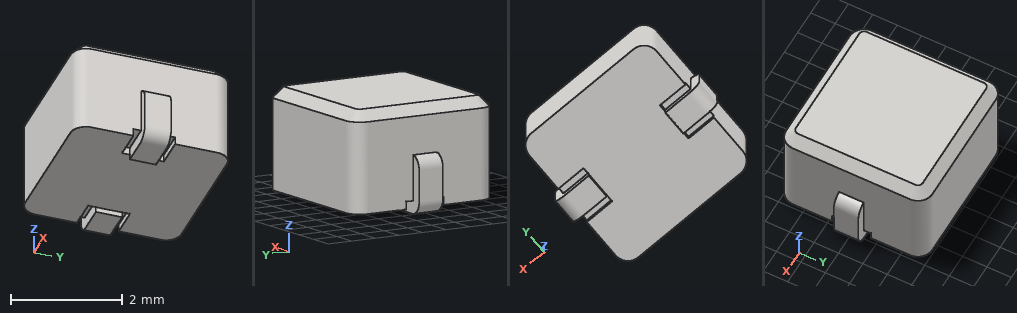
import cadquery as cq

span_x = 3.4
total_height = 2.0

body_width = 3.0
standoff = 0.102
body_height = total_height - standoff
corner_radius = 0.3
top_chamfer = 0.2

terminal_width = 0.503
terminal_height = 1.095
terminal_thickness = 0.248
terminal_radius = 0.248
foot_length = 0.8

notch_width = 0.8

half_span = span_x / 2
notch_depth = foot_length - (span_x - body_width) / 2


def make_body():
    """Square block with rounded uprights and a chamfered top rim."""
    return (
        cq.Workplane("XY", origin=(0, 0, standoff))
        .rect(body_width, body_width)
        .extrude(body_height)
        .edges("|Z")
        .fillet(corner_radius)
        .faces(">Z")
        .chamfer(top_chamfer)
    )


def make_notch():
    """Block removed from the -X bottom edge, as high as the top of the foot."""
    return cq.Workplane("XY").box(
        notch_depth, notch_width, terminal_thickness, centered=(False, True, False)
    ).translate((-body_width / 2, 0, 0))


def make_terminal():
    """L-shaped -X terminal with both outer bends rounded."""
    outline = (
        cq.Workplane("XZ")
        .moveTo(-half_span, 0)
        .hLine(foot_length)
        .vLine(terminal_thickness)
        .hLine(terminal_thickness - foot_length)
        .vLine(terminal_height - terminal_thickness)
        .hLine(-terminal_thickness)
        .close()
    )
    rounded_envelope = (
        cq.Workplane("XY")
        .box(span_x, terminal_width, terminal_height, centered=(True, True, False))
        .edges("|Y")
        .fillet(terminal_radius)
    )
    return outline.extrude(terminal_width / 2, both=True).intersect(rounded_envelope)


result = make_body()
for turn in (0, 180):
    notch = make_notch().rotate((0, 0, 0), (0, 0, 1), turn)
    terminal = make_terminal().rotate((0, 0, 0), (0, 0, 1), turn)
    result = result.cut(notch).union(terminal)